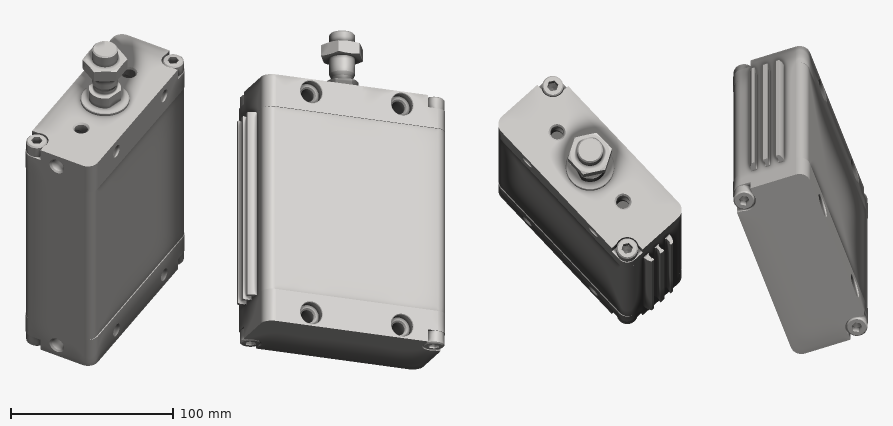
import cadquery as cq
import math

body_width = 50.0
body_length = 121.0
body_height = 162.0
cap_height = 21.0
corner_radius = 7.0
barrel_side_step = 0.6
barrel_height = body_height - 2 * cap_height
barrel_radius = corner_radius - barrel_side_step
barrel_width = body_width - 2 * barrel_side_step

rail_depth = 5.5
rail_lip_height = 0.8
rail_head_height = 1.5
rail_undercut = 0.6
rail_foot_y = body_length / 2
rail_lip_y = rail_foot_y + rail_lip_height
rail_tip_y = rail_foot_y + rail_depth
rail_head_y = rail_tip_y - rail_head_height
middle_rail_width = 3.0
side_rail_inner_x = 7.0
side_rail_foot_x = 10.8
side_rail_tip_x = 9.0
side_rail_radius = 9.2

screw_diameter = 13.0
screw_top_diameter = 11.5
screw_chamfer_height = 0.8
screw_inset = corner_radius
notch_depth = 8.0
notch_diameter = 14.3
socket_width = 6.1
socket_depth = 5.0
socket_tip_angle = 118

hole_spacing = 60.0
hole_inset = 8.4
port_diameter = 8.4
port_mouth_diameter = 10.5
port_depth = 14.3
mount_bore_diameter = 8.4
mount_mouth_diameter = 10.5
mount_counterbore_diameter = 14.3
mount_counterbore_mouth_diameter = 15.0
mount_counterbore_depth = 6.0

collar_diameter = 30.0
collar_height = 2.0
collar_chamfer = 0.5
collar_top_z = body_height + collar_height
rod_diameter = 20.0
rod_flat_width = 17.1
rod_flat_turn = -15
rod_bottom_z = body_height - cap_height
shoulder_z = 172.0
thread_diameter = 16.0
thread_start_z = 177.5
undercut_diameter = 13.9
undercut_fillet = 1.0
runout_height = 2.5
rod_top_z = 204.0
rod_tip_chamfer = 0.8
nut_width = 24.0
nut_height = 8.0
nut_top_z = 195.6
nut_chamfer_angle = 15

hexagon_half_angle = 30


def rounded_block(width, length, radius, bottom_z, height):
    """Upright block centred on the Z axis with rounded vertical edges."""
    block = cq.Workplane("XY", origin=(0, 0, bottom_z)).rect(width, length).extrude(height)
    return block.edges("|Z").fillet(radius)


def chamfered_hole(plane, diameter, mouth_diameter, depth):
    """Cutter for a flat-bottomed hole that starts at the plane and runs along its normal."""
    bore = cq.Workplane(plane).circle(diameter / 2).extrude(depth)
    mouth_depth = (mouth_diameter - diameter) / 2
    mouth = cq.Solid.makeCone(mouth_diameter / 2, diameter / 2, mouth_depth, plane.origin, plane.zDir)
    return bore.union(cq.Workplane(mouth))


def hexagon(plane, width):
    """Hexagon outline with flats of the given width facing -X and +X."""
    corner_diameter = width / math.cos(math.radians(hexagon_half_angle))
    return plane.transformed(rotate=(0, 0, hexagon_half_angle)).polygon(6, corner_diameter)


def screw_centre(sign):
    """Place of the screw in the corner where X and Y both have the given sign."""
    return sign * (body_width / 2 - screw_inset), sign * (body_length / 2 - screw_inset)


def screw_head(sign):
    """Screw head with a hexagon socket, standing in its notch flush with the cap face."""
    x, y = screw_centre(sign)
    head = cq.Workplane("XY", origin=(x, y, cap_height - notch_depth)).circle(screw_diameter / 2)
    head = head.extrude(notch_depth)
    chamfer_width = (screw_diameter - screw_top_diameter) / 2
    head = head.faces(">Z").chamfer(screw_chamfer_height, chamfer_width)
    socket_floor_z = cap_height - socket_depth
    socket = hexagon(cq.Workplane("XY", origin=(x, y, socket_floor_z)), socket_width)
    tip_depth = socket_width / 2 / math.tan(math.radians(socket_tip_angle / 2))
    tip = cq.Solid.makeCone(
        socket_width / 2, 0, tip_depth, cq.Vector(x, y, socket_floor_z), cq.Vector(0, 0, -1)
    )
    return head.cut(socket.extrude(socket_depth)).cut(cq.Workplane(tip))


def corner_notch(sign):
    """Cutter for the corner recess: square to the cap sides, round behind the screw."""
    x, y = screw_centre(sign)
    floor = cq.Workplane("XY", origin=(x, y, cap_height - notch_depth))
    round_part = floor.circle(notch_diameter / 2).extrude(notch_depth)
    inner_reach = screw_diameter / 2
    side = screw_inset + inner_reach
    outward_shift = sign * (screw_inset - inner_reach) / 2
    quarter_shift = -sign * inner_reach / 2
    square = floor.center(outward_shift, outward_shift).rect(side, side)
    square = square.extrude(notch_depth)
    inner_quarter = floor.center(quarter_shift, quarter_shift)
    inner_quarter = inner_quarter.rect(inner_reach, inner_reach).extrude(notch_depth)
    return square.cut(inner_quarter).union(round_part)


def mount_hole(y):
    """Cutter for a through hole along X with a counterbore on the -X face."""
    z = cap_height - hole_inset
    face_x = -body_width / 2
    floor_x = face_x + mount_counterbore_depth
    face_plane = cq.Plane((face_x, y, z), xDir=(0, 1, 0), normal=(1, 0, 0))
    counterbore = chamfered_hole(
        face_plane,
        mount_counterbore_diameter,
        mount_counterbore_mouth_diameter,
        mount_counterbore_depth,
    )
    floor_plane = cq.Plane((floor_x, y, z), xDir=(0, 1, 0), normal=(1, 0, 0))
    bore_depth = body_width - mount_counterbore_depth
    bore = chamfered_hole(floor_plane, mount_bore_diameter, mount_mouth_diameter, bore_depth)
    return counterbore.union(bore)


def make_cap():
    """Cap with its inner face at Z = 0 and its outer face at the cap height."""
    cap = rounded_block(body_width, body_length, corner_radius, 0, cap_height)
    for sign in (-1, 1):
        cap = cap.cut(corner_notch(sign)).union(screw_head(sign))
        cap = cap.cut(mount_hole(sign * hole_spacing / 2))
    port_plane = cq.Plane(
        (0, -body_length / 2, cap_height - hole_inset), xDir=(1, 0, 0), normal=(0, 1, 0)
    )
    return cap.cut(chamfered_hole(port_plane, port_diameter, port_mouth_diameter, port_depth))


def make_top_cap():
    cap = make_cap().translate((0, 0, body_height - cap_height))
    collar = cq.Workplane("XY", origin=(0, 0, body_height)).circle(collar_diameter / 2)
    collar = collar.extrude(collar_height).faces(">Z").chamfer(collar_chamfer)
    cap = cap.union(collar)
    for sign in (-1, 1):
        hole_plane = cq.Plane(
            (0, sign * hole_spacing / 2, body_height), xDir=(1, 0, 0), normal=(0, 0, -1)
        )
        cap = cap.cut(chamfered_hole(hole_plane, port_diameter, port_mouth_diameter, port_depth))
    rod_hole = cq.Workplane("XY", origin=(0, 0, rod_bottom_z)).circle(rod_diameter / 2)
    return cap.cut(rod_hole.extrude(cap_height + collar_height))


def make_bottom_cap():
    return make_cap().mirror("XY").translate((0, 0, cap_height))


def middle_rail():
    """I-shaped rail, drawn from its foot on the barrel to its head."""
    neck_width = middle_rail_width - 2 * rail_undercut
    plane = cq.Workplane("XY", origin=(0, 0, cap_height))
    rail = plane.center(0, rail_foot_y + rail_depth / 2).rect(neck_width, rail_depth)
    rail = rail.extrude(barrel_height)
    for start_y, end_y in ((rail_foot_y, rail_lip_y), (rail_head_y, rail_tip_y)):
        flange = plane.center(0, (start_y + end_y) / 2).rect(middle_rail_width, end_y - start_y)
        rail = rail.union(flange.extrude(barrel_height))
    return rail


def side_rail():
    """Right-hand rail with an undercut inner side and a rounded outer side."""
    neck_x = side_rail_inner_x + rail_undercut
    return (
        cq.Workplane("XY", origin=(0, 0, cap_height))
        .moveTo(side_rail_foot_x, rail_foot_y)
        .radiusArc((side_rail_tip_x, rail_tip_y), -side_rail_radius)
        .lineTo(side_rail_inner_x, rail_tip_y)
        .lineTo(side_rail_inner_x, rail_head_y)
        .lineTo(neck_x, rail_head_y)
        .lineTo(neck_x, rail_lip_y)
        .lineTo(side_rail_inner_x, rail_lip_y)
        .lineTo(side_rail_inner_x, rail_foot_y)
        .close()
        .extrude(barrel_height)
    )


def make_barrel():
    barrel = rounded_block(barrel_width, body_length, barrel_radius, cap_height, barrel_height)
    right_rail = side_rail()
    return barrel.union(middle_rail()).union(right_rail).union(right_rail.mirror("YZ"))


def make_rod():
    """Rod with wrench flats, an undercut above its shoulder and a threaded end."""
    rod_radius = rod_diameter / 2
    thread_radius = thread_diameter / 2
    undercut_radius = undercut_diameter / 2
    rod = (
        cq.Workplane("XZ")
        .moveTo(0, rod_bottom_z)
        .lineTo(rod_radius, rod_bottom_z)
        .lineTo(rod_radius, shoulder_z)
        .lineTo(undercut_radius + undercut_fillet, shoulder_z)
        .radiusArc((undercut_radius, shoulder_z + undercut_fillet), undercut_fillet)
        .lineTo(undercut_radius, thread_start_z - runout_height)
        .lineTo(thread_radius, thread_start_z)
        .lineTo(thread_radius, rod_top_z - rod_tip_chamfer)
        .lineTo(thread_radius - rod_tip_chamfer, rod_top_z)
        .lineTo(0, rod_top_z)
        .close()
        .revolve(360, (0, 0), (0, 1))
    )
    flats_plane = cq.Workplane("XY", origin=(0, 0, collar_top_z))
    flats_plane = flats_plane.transformed(rotate=(0, 0, rod_flat_turn))
    flats_height = shoulder_z - collar_top_z
    across_flats = flats_plane.rect(rod_flat_width, rod_diameter).extrude(flats_height)
    around_flats = flats_plane.rect(2 * rod_diameter, 2 * rod_diameter).extrude(flats_height)
    return rod.cut(around_flats.cut(across_flats))


def make_nut():
    """Hexagon nut with both ends coned down to circles as wide as its flats."""
    nut_base = cq.Workplane("XY", origin=(0, 0, nut_top_z - nut_height))
    nut = hexagon(nut_base, nut_width).extrude(nut_height)
    tip_radius = nut_width / 2 / math.cos(math.radians(hexagon_half_angle))
    cone_width = tip_radius - nut_width / 2
    cone_height = cone_width * math.tan(math.radians(nut_chamfer_angle))
    envelope = nut_base.circle(tip_radius).extrude(nut_height)
    envelope = envelope.faces("<Z or >Z").chamfer(cone_height, cone_width)
    thread_hole = nut_base.circle(thread_diameter / 2).extrude(nut_height)
    return nut.intersect(envelope).cut(thread_hole)


top_cap = make_top_cap()
bottom_cap = make_bottom_cap()
barrel = make_barrel()
rod = make_rod()
nut = make_nut()

result = cq.Compound.makeCompound(
    [top_cap.val(), bottom_cap.val(), barrel.val(), rod.val(), nut.val()]
)